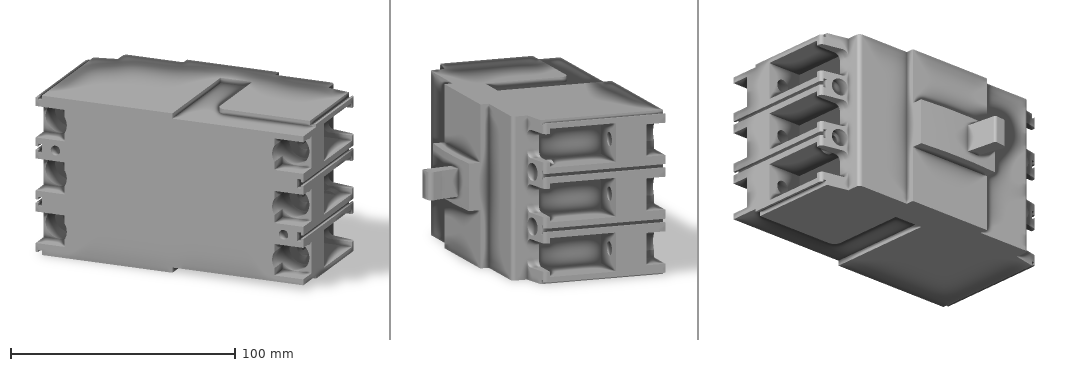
import cadquery as cq


length = 130.0
width = 75.0
poles = 3
pole_pitch = width / poles
end_height = 57.8
slope_top = 60.7
lid_length = 102.2
lid_height = 68.0
deck_length = 44.7
deck_height = 72.0
end_round = 2.0
lid_round = 2.0

platform_width = 21.7
platform_edge_height = 77.5
platform_crown_height = 78.5
handle_width = 12.9
handle_outline = [(-10.9, 76.7), (-13.1, 86.7), (-15.2, 93.5), (-7.3, 94.2), (-4.8, 76.7)]
handle_left_round = 2.1
handle_right_round = 1.3

slot_mouth_width = 1.7
corner_mouth_width = 2.3
slot_mouth_depth = 1.2
slot_cross_width = 4.3
slot_depth = 3.0

recess_depth = 2.5
recess_left = 1.4
recess_step = 16.8
recess_top = 54.6
recess_shelf = 14.4
recess_round = 3.8

bolt_x = 57.0
bolt_diameter = 6.4
bore_diameter = 14.2
bore_height = 19.5
stud_pocket_length = 14.0
stud_pocket_height = 9.1
middle_pocket_width = 15.1
outer_pocket_width = 14.8
outer_pocket_offset = 24.8
chamber_bottom = 23.7
chamber_top = 55.1
chamber_width = 17.8
chamber_length = 18.2
access_width = 13.0
access_round = 3.0

mount_x = 55.4
mount_diameter = 4.5
mount_rim_diameter = 8.2
mount_rim_floor = 55.9
mount_boss_diameter = 9.9
mount_boss_bottom = 50.8

half_length = length / 2
half_width = width / 2
lid_end = lid_length / 2
deck_end = deck_length / 2
ends = (-1, 1)
pole_centers = [(i - (poles - 1) / 2) * pole_pitch for i in range(poles)]
pole_borders = [(i - poles / 2) * pole_pitch for i in range(poles + 1)]


def block(x_range, y_range, z_center, z_width):
    """Box between two X and two Y limits, centred at z_center."""
    x_low, x_high = sorted(x_range)
    y_low, y_high = y_range
    size = (x_high - x_low, y_high - y_low, z_width)
    return cq.Workplane("XY").box(*size, centered=False).translate((x_low, y_low, z_center - z_width / 2))


def upright_cylinder(x, z, diameter, y_low, y_high):
    """Cylinder standing along Y between two heights."""
    turned = cq.Workplane("XZ").circle(diameter / 2).extrude(-(y_high - y_low))
    return turned.translate((x, y_low, z))


def make_housing():
    """Stepped side profile, symmetric about X = 0, with rounded shoulders and ends."""
    half_profile = [
        (half_length, 0),
        (half_length, end_height),
        (lid_end, slope_top),
        (lid_end, lid_height),
        (deck_end, lid_height),
        (deck_end, deck_height),
    ]
    profile = half_profile + [(-x, y) for x, y in reversed(half_profile)]
    housing = cq.Workplane("XY").polyline(profile).close().extrude(half_width, both=True)
    for side in ends:
        end_edge = cq.selectors.NearestToPointSelector((side * half_length, end_height, 0))
        housing = housing.edges(end_edge).fillet(end_round)
        lid_edge = cq.selectors.NearestToPointSelector((side * lid_end, lid_height, 0))
        housing = housing.edges(lid_edge).fillet(lid_round)
    return housing


def make_platform():
    """Narrow platform with a slightly crowned top around the handle."""
    return (
        cq.Workplane("XY")
        .moveTo(-deck_end, lid_height)
        .lineTo(-deck_end, platform_edge_height)
        .threePointArc((0, platform_crown_height), (deck_end, platform_edge_height))
        .lineTo(deck_end, lid_height)
        .close()
        .extrude(platform_width / 2, both=True)
    )


def make_handle():
    """Leaning toggle handle, widening towards its rounded tip."""
    handle = cq.Workplane("XY").polyline(handle_outline).close().extrude(handle_width / 2, both=True)
    tips = ((handle_outline[2], handle_left_round), (handle_outline[3], handle_right_round))
    for (x, y), radius in tips:
        handle = handle.edges(cq.selectors.NearestToPointSelector((x, y, 0))).fillet(radius)
    return handle


def make_end_slots(side):
    """T-slots at the pole borders; the outermost two are half cut away at the corners."""
    slots = cq.Workplane("XY")
    face = side * half_length
    cross_start = side * (half_length - slot_mouth_depth)
    slot_end = side * (half_length - slot_depth)
    for z in pole_borders:
        mouth_width = corner_mouth_width if z in (pole_borders[0], pole_borders[-1]) else slot_mouth_width
        slots = slots.add(block((face, slot_end), (0, slope_top), z, mouth_width))
        slots = slots.add(block((cross_start, slot_end), (0, slope_top), z, slot_cross_width))
    return slots.combine()


def make_side_recess():
    """L-shaped area that reaches the mounting face and the +X end."""
    inner_corner = cq.selectors.NearestToPointSelector((recess_step, recess_shelf, 0))
    return (
        cq.Workplane("XY")
        .moveTo(recess_left, 0)
        .lineTo(recess_left, recess_top)
        .lineTo(recess_step, recess_top)
        .lineTo(recess_step, recess_shelf)
        .lineTo(half_length, recess_shelf)
        .lineTo(half_length, 0)
        .close()
        .extrude(recess_depth, both=True)
        .edges(inner_corner)
        .fillet(recess_round)
    )


def make_terminal(side, z):
    """Stud pocket, bore, bolt hole, wiring chamber and screwdriver access of one pole."""
    face = side * half_length
    x = side * bolt_x
    middle = z == 0
    pocket_width = middle_pocket_width if middle else outer_pocket_width
    pocket_z = 0 if middle else outer_pocket_offset * z / abs(z)

    pocket = block((face, face - side * stud_pocket_length), (0, stud_pocket_height), pocket_z, pocket_width)
    bore = upright_cylinder(x, z, bore_diameter, 0, bore_height)
    bolt_hole = upright_cylinder(x, z, bolt_diameter, 0, chamber_top)
    chamber = block((face, face - side * chamber_length), (chamber_bottom, chamber_top), z, chamber_width)

    access = block((face, side * lid_end), (chamber_top, slope_top), z, access_width)
    access = access.edges("|Y").edges("<X" if side > 0 else ">X").fillet(access_round)
    return pocket.union(bore).union(bolt_hole).union(chamber).union(access)


def make_mounting_boss(side, z):
    """Round boss hanging from the chamber ceilings around a mounting hole."""
    return upright_cylinder(side * mount_x, z, mount_boss_diameter, mount_boss_bottom, mount_rim_floor)


def make_mounting_hole(side, z):
    """Hole right through the housing between two poles."""
    return upright_cylinder(side * mount_x, z, mount_diameter, 0, slope_top)


def make_shoulder_recess(side, z):
    """Round recess in the sloping shoulder between two poles."""
    return upright_cylinder(side * mount_x, z, mount_rim_diameter, mount_rim_floor, slope_top)


result = make_housing().union(make_platform()).union(make_handle())

for recess_z in (-half_width, half_width):
    result = result.cut(make_side_recess().translate((0, 0, recess_z)))

for end in ends:
    result = result.cut(make_end_slots(end))
    for pole_z in pole_centers:
        result = result.cut(make_terminal(end, pole_z))
    for border_z in pole_borders[1:-1]:
        has_hole = end * border_z < 0
        if has_hole:
            result = result.union(make_mounting_boss(end, border_z))
        result = result.cut(make_shoulder_recess(end, border_z))
        if has_hole:
            result = result.cut(make_mounting_hole(end, border_z))